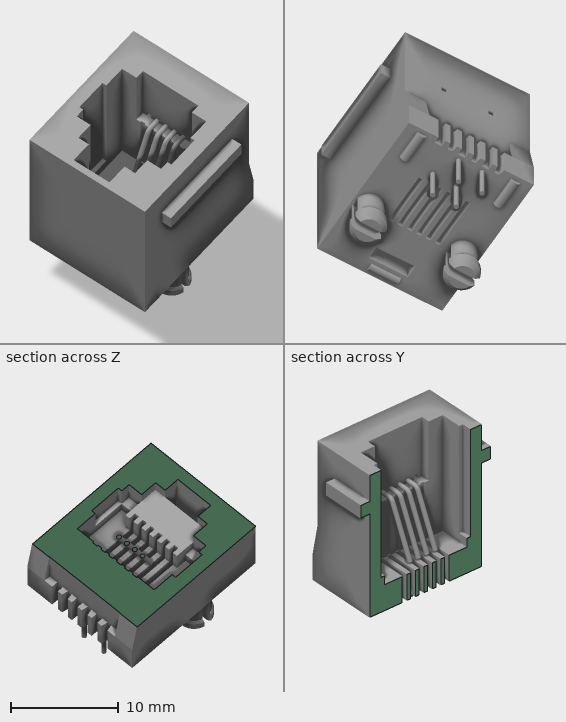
import cadquery as cq
import math


body_width = 13.54
body_depth = 15.8
body_height = 15.8
foot_depth = 0.69
foot_height = 2.9
foot_slope_top = 6.25

flange_thickness = 1.08
flange_front = 2.55
flange_back = 13.25
flange_bottom = 11.48
flange_top = 12.93

recess_width = 9.09
positions = 6
notch_pitch = 1.27
notch_wide = 0.75
notch_narrow = 0.47

main_width = 9.87
main_front = 4.82
main_back = 11.7
main_floor = 2.94
side_width = 10.77
side_front = 5.8
side_back = 9.3
shelf_floor = 3.92
key_width = 6.65
key_front = 2.95
key_back = 6.95
key_floor = 4.9
ledge_width = 6.5
ledge_back = 12.67
ledge_floor = 9.25
latch_width = 4.2
latch_front_top = 0.67
latch_front_bottom = 1.6

slot_pitch = 1.02
slot_width = 0.5
slot_front = 6.21
slot_back = 11.83
wire_diameter = 0.49
wire_radius = wire_diameter / 2
wire_rise = 0.24
wire_anchor = 0.98
bend_radius = 0.59
bend_angle = math.radians(65)
wire_tip = 8.65

pin_length = 3.5
pin_row_front = 12.71
pin_row_back = 15.25

peg_spacing = 10.15
peg_y = 6.37
peg_gap = 0.95
peg_spread = 0.12
shaft_radius = 1.49
shoulder_radius = 1.55
head_diameter = 3.39
head_radius = head_diameter / 2
tip_radius = 1.18
shoulder_z = -2.3
head_top_z = -2.53
head_bottom_z = -3.27
peg_tip_z = -3.78

front_standoff_radius = 0.37
front_standoff_length = 3.17
front_standoff_y = 0.82
rear_standoff_radius = 0.49
rear_standoff_front = 12.85
rear_standoff_back = 16.02


def block(width, y_front, y_back, z_bottom, z_top, x=0):
    """Box centred on x, given by its limits in Y and Z."""
    size = (width, y_back - y_front, z_top - z_bottom)
    return cq.Workplane("XY").box(*size, centered=(True, False, False)).translate((x, y_front, z_bottom))


def side_profile(points, width):
    """Solid with a Y-Z outline, centred on X = 0."""
    return cq.Workplane("YZ").polyline(points).close().extrude(width / 2, both=True)


def spaced(count, pitch):
    """Evenly spaced X places, centred on X = 0."""
    return [(i - (count - 1) / 2) * pitch for i in range(count)]


def make_housing():
    back = body_depth + foot_depth
    outline = [
        (0, 0),
        (back, 0),
        (back, foot_height),
        (body_depth, foot_slope_top),
        (body_depth, body_height),
        (0, body_height),
    ]
    flanges = block(body_width + 2 * flange_thickness, flange_front, flange_back, flange_bottom, flange_top)
    return side_profile(outline, body_width).union(flanges)


def make_cavity():
    shelf = block(main_width, main_front, side_front, shelf_floor, body_height)
    cavity = block(side_width, side_front, side_back, shelf_floor, body_height).union(shelf)
    cavity = cavity.union(block(main_width, side_front, main_back, main_floor, body_height))
    cavity = cavity.union(block(ledge_width, main_back, ledge_back, ledge_floor, body_height))
    cavity = cavity.cut(block(key_width, key_front, key_back, 0, key_floor))
    return cavity.union(block(key_width, key_front, key_back, key_floor, body_height))


def make_latch_slot():
    """Slot through the full height, with a sloping front wall."""
    outline = [
        (latch_front_bottom, 0),
        (key_front, 0),
        (key_front, body_height),
        (latch_front_top, body_height),
    ]
    return side_profile(outline, latch_width)


def make_contact_slot(x):
    """Slot through the cavity floor, ending in a blind notch in the ledge."""
    through = block(slot_width, slot_front, main_back, 0, ledge_floor, x)
    return through.union(block(slot_width, main_back, slot_back, main_floor, ledge_floor, x))


def make_notch(x, inner_width):
    """Notch through the foot, widest at its open back end."""
    outline = [
        (x - inner_width / 2, body_depth),
        (x + inner_width / 2, body_depth),
        (x + notch_wide / 2, body_depth + foot_depth),
        (x - notch_wide / 2, body_depth + foot_depth),
    ]
    return cq.Workplane("XY").polyline(outline).close().extrude(foot_height)


def make_wire(x):
    """Contact wire lying on the ledge, then bent down into its slot."""
    z = ledge_floor + wire_rise
    start = ledge_back + wire_anchor
    middle = (
        main_back - bend_radius * math.sin(bend_angle / 2),
        z - bend_radius * (1 - math.cos(bend_angle / 2)),
    )
    bend_end = (
        main_back - bend_radius * math.sin(bend_angle),
        z - bend_radius * (1 - math.cos(bend_angle)),
    )
    tip = (wire_tip, bend_end[1] - (bend_end[0] - wire_tip) * math.tan(bend_angle))
    path = (
        cq.Workplane("YZ", origin=(x, 0, 0))
        .moveTo(start, z)
        .lineTo(main_back, z)
        .threePointArc(middle, bend_end)
        .lineTo(*tip)
    )
    return cq.Workplane("XZ", origin=(x, start, z)).circle(wire_radius).sweep(path)


def make_peg_half(x, side):
    """One half of a peg; side is +1 for the back half and -1 for the front half."""
    profile = [
        (0, 0),
        (shaft_radius, 0),
        (shaft_radius, shoulder_z),
        (shoulder_radius, shoulder_z),
        (head_radius, head_top_z),
        (head_radius, head_bottom_z),
        (tip_radius, peg_tip_z),
        (0, peg_tip_z),
    ]
    peg = cq.Workplane("XZ").polyline(profile).close().revolve(360, (0, 0), (0, 1))
    peg = peg.translate((x, peg_y + side * peg_spread, 0))
    near, far = sorted((peg_y + side * peg_gap / 2, peg_y + side * head_diameter))
    return peg.intersect(block(head_diameter, near, far, peg_tip_z, 0, x))


def make_rear_standoff(x):
    """Half-round bar along Y, rounded side down."""
    length = rear_standoff_back - rear_standoff_front
    return (
        cq.Workplane("XZ", origin=(x, rear_standoff_back, 0))
        .moveTo(-rear_standoff_radius, 0)
        .threePointArc((0, -rear_standoff_radius), (rear_standoff_radius, 0))
        .close()
        .extrude(length)
    )


def make_front_standoff():
    """Half-round bar along X, rounded side down."""
    return (
        cq.Workplane("YZ", origin=(0, front_standoff_y, 0))
        .moveTo(-front_standoff_radius, 0)
        .threePointArc((0, -front_standoff_radius), (front_standoff_radius, 0))
        .close()
        .extrude(front_standoff_length / 2, both=True)
    )


slot_places = spaced(positions, slot_pitch)
notch_places = spaced(positions, notch_pitch)
peg_places = spaced(2, peg_spacing)

result = make_housing().cut(make_cavity()).cut(make_latch_slot())
for x in slot_places:
    result = result.cut(make_contact_slot(x))

for x in (slot_places[0], slot_places[-1]):
    tunnel = block(slot_width, ledge_back, body_depth, ledge_floor, ledge_floor + slot_width, x)
    result = result.cut(tunnel)

result = result.cut(block(recess_width, body_depth, body_depth + foot_depth, foot_height, foot_slope_top))
for index, x in enumerate(notch_places):
    inner_width = notch_narrow if index % 2 == 0 else notch_wide
    result = result.cut(make_notch(x, inner_width))

for x in slot_places[1:-1]:
    result = result.union(make_wire(x))

for index, x in enumerate(notch_places[1:-1]):
    row = pin_row_back if index % 2 == 0 else pin_row_front
    pin = cq.Workplane("XY").center(x, row).circle(wire_radius).extrude(-pin_length)
    result = result.union(pin)

for x in peg_places:
    for side in (-1, 1):
        result = result.union(make_peg_half(x, side))
    result = result.union(make_rear_standoff(x))

result = result.union(make_front_standoff())